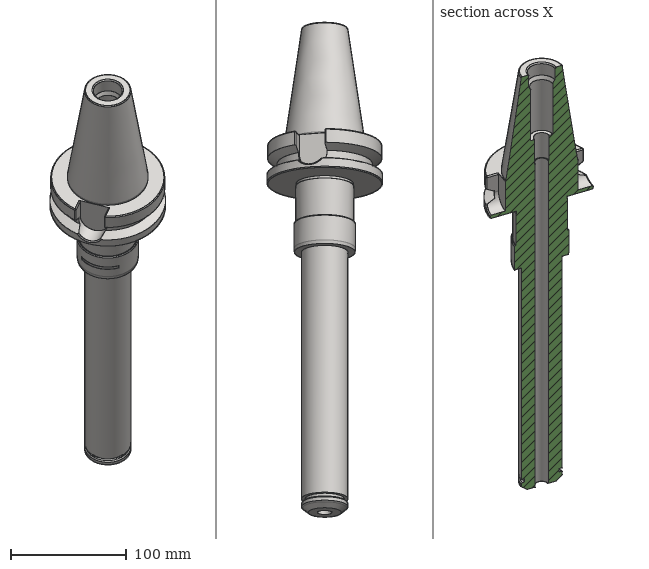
import cadquery as cq
import math

TOTAL_LENGTH = 436.0
TAPER_BOTTOM_Z = 332.5
FLANGE_TOP_Z = 331.0
FLANGE_BOTTOM_Z = 296.0
COLLAR_TOP_Z = 260.5
COLLAR_BOTTOM_Z = 234.5
STEM_BOTTOM_Z = 12.0
RIM_TOP_Z = 9.0
RIM_BOTTOM_Z = 4.0

TAPER_TOP_DIA = 40.0
TAPER_BOTTOM_DIA = 69.7
FLANGE_DIA = 100.0
UPPER_FLANGE_DIA = 98.5
GROOVE_DIA = 82.5
RELIEF_DIA = 49.5
NECK_DIA = 50.0
COLLAR_DIA = 53.0
STEM_DIA = 40.0
NOSE_GROOVE_DIA = 34.0
NOSE_DIA = 28.5

GROOVE_UPPER_EDGE_Z = 318.5
GROOVE_FLOOR_TOP_Z = 313.8
GROOVE_FLOOR_BOTTOM_Z = 307.2
GROOVE_LOWER_EDGE_Z = 304.0

RELIEF_HEIGHT = 2.0
COLLAR_CHAMFER_HEIGHT = 3.0
COLLAR_CHAMFER_WIDTH = 0.5
RIM_CHAMFER = 1.1
TAPER_TOP_CHAMFER = 1.0
FLANGE_CHAMFER = 1.0
COLLAR_TOP_CHAMFER = 1.0

SLOT_WIDTH = 25.5
SLOT_FLOOR_OFFSET = 35.5
SLOT_BOTTOM_Z = 300.0
SLOT_CHAMFER = 1.1

MOUTH_DIA = 27.0
BORE_DIA = 25.0
THREAD_DIA = 21.0
POCKET_DIA = 14.0
COOLANT_DIA = 12.0
BORE_DEPTH = 13.0
THREAD_DEPTH = 69.7
POCKET_DEPTH = 96.0
BORE_CONE_HALF_ANGLE = 30.0

MARK_LENGTH = 34.0
MARK_HEIGHT = 2.5
MARK_DEPTH = 0.2
MARK_Z = 247.5


def revolve_profile(steps):
    """Solid of revolution about Z from (diameter, z) steps listed along its surface."""
    outline = [(0, steps[0][1])]
    outline += [(diameter / 2, z) for diameter, z in steps]
    outline += [(0, steps[-1][1])]
    return cq.Workplane("XZ").polyline(outline).close().revolve(360, (0, 0), (0, 1))


def make_body():
    return revolve_profile([
        (TAPER_TOP_DIA - 2 * TAPER_TOP_CHAMFER, TOTAL_LENGTH),
        (TAPER_TOP_DIA, TOTAL_LENGTH - TAPER_TOP_CHAMFER),
        (TAPER_BOTTOM_DIA, TAPER_BOTTOM_Z),
        (TAPER_BOTTOM_DIA, FLANGE_TOP_Z),
        (UPPER_FLANGE_DIA - 2 * FLANGE_CHAMFER, FLANGE_TOP_Z),
        (UPPER_FLANGE_DIA, FLANGE_TOP_Z - FLANGE_CHAMFER),
        (UPPER_FLANGE_DIA, GROOVE_UPPER_EDGE_Z),
        (GROOVE_DIA, GROOVE_FLOOR_TOP_Z),
        (GROOVE_DIA, GROOVE_FLOOR_BOTTOM_Z),
        (FLANGE_DIA, GROOVE_LOWER_EDGE_Z),
        (FLANGE_DIA, FLANGE_BOTTOM_Z + FLANGE_CHAMFER),
        (FLANGE_DIA - 2 * FLANGE_CHAMFER, FLANGE_BOTTOM_Z),
        (RELIEF_DIA, FLANGE_BOTTOM_Z),
        (RELIEF_DIA, FLANGE_BOTTOM_Z - RELIEF_HEIGHT),
        (NECK_DIA, FLANGE_BOTTOM_Z - RELIEF_HEIGHT),
        (NECK_DIA, COLLAR_TOP_Z),
        (COLLAR_DIA - 2 * COLLAR_TOP_CHAMFER, COLLAR_TOP_Z),
        (COLLAR_DIA, COLLAR_TOP_Z - COLLAR_TOP_CHAMFER),
        (COLLAR_DIA, COLLAR_BOTTOM_Z + COLLAR_CHAMFER_HEIGHT),
        (COLLAR_DIA - 2 * COLLAR_CHAMFER_WIDTH, COLLAR_BOTTOM_Z),
        (STEM_DIA, COLLAR_BOTTOM_Z),
        (STEM_DIA, STEM_BOTTOM_Z),
        (NOSE_GROOVE_DIA, STEM_BOTTOM_Z),
        (NOSE_GROOVE_DIA, RIM_TOP_Z),
        (STEM_DIA - 2 * RIM_CHAMFER, RIM_TOP_Z),
        (STEM_DIA, RIM_TOP_Z - RIM_CHAMFER),
        (STEM_DIA, RIM_BOTTOM_Z + RIM_CHAMFER),
        (STEM_DIA - 2 * RIM_CHAMFER, RIM_BOTTOM_Z),
        (NOSE_DIA, 0),
    ])


def make_bore():
    """Stepped hole: chamfered mouth, cone to the thread, flat shoulders to the coolant hole."""
    bore_end = TOTAL_LENGTH - BORE_DEPTH
    cone_height = (BORE_DIA - THREAD_DIA) / 2 / math.tan(math.radians(BORE_CONE_HALF_ANGLE))
    thread_end = TOTAL_LENGTH - THREAD_DEPTH
    pocket_end = TOTAL_LENGTH - POCKET_DEPTH
    return revolve_profile([
        (MOUTH_DIA, TOTAL_LENGTH),
        (BORE_DIA, TOTAL_LENGTH - (MOUTH_DIA - BORE_DIA) / 2),
        (BORE_DIA, bore_end),
        (THREAD_DIA, bore_end - cone_height),
        (THREAD_DIA, thread_end),
        (POCKET_DIA, thread_end),
        (POCKET_DIA, pocket_end),
        (COOLANT_DIA, pocket_end),
        (COOLANT_DIA, 0),
    ])


def make_drive_slot():
    """Cutter for the -Y slot: flat floor, open top, half-round lower end."""
    radius = SLOT_WIDTH / 2
    arc_center_z = SLOT_BOTTOM_Z + radius
    return (
        cq.Workplane("XZ", origin=(0, -SLOT_FLOOR_OFFSET, 0))
        .moveTo(-radius, TAPER_BOTTOM_Z)
        .lineTo(-radius, arc_center_z)
        .threePointArc((0, SLOT_BOTTOM_Z), (radius, arc_center_z))
        .lineTo(radius, TAPER_BOTTOM_Z)
        .close()
        .extrude(FLANGE_DIA / 2)
    )


def chamfer_slot_edges(part):
    """Break the outer edges of both slots on the upper and lower parts of the flange."""
    reach = SLOT_WIDTH / 2 + SLOT_CHAMFER
    for side in (-1, 1):
        near = side * (SLOT_FLOOR_OFFSET + SLOT_CHAMFER)
        far = side * FLANGE_DIA
        upper = cq.selectors.BoxSelector(
            (-reach, near, GROOVE_UPPER_EDGE_Z), (reach, far, FLANGE_TOP_Z + SLOT_CHAMFER)
        )
        lower = cq.selectors.BoxSelector(
            (-reach, near, FLANGE_BOTTOM_Z + SLOT_CHAMFER), (reach, far, GROOVE_LOWER_EDGE_Z)
        )
        part = part.edges(upper).chamfer(SLOT_CHAMFER)
        part = part.edges(lower).chamfer(SLOT_CHAMFER)
    return part


def make_collar_mark():
    """Cutter for a shallow band that follows the round collar."""
    ring = (
        cq.Workplane("XY", origin=(0, 0, MARK_Z - MARK_HEIGHT / 2))
        .circle(COLLAR_DIA)
        .circle(COLLAR_DIA / 2 - MARK_DEPTH)
        .extrude(MARK_HEIGHT)
    )
    front = cq.Workplane("XY", origin=(0, -COLLAR_DIA / 2, MARK_Z)).box(MARK_LENGTH, COLLAR_DIA, MARK_HEIGHT)
    return ring.intersect(front)


result = make_body().cut(make_bore())
for turn in (0, 180):
    result = result.cut(make_drive_slot().rotate((0, 0, 0), (0, 0, 1), turn))
result = chamfer_slot_edges(result)
result = result.cut(make_collar_mark())